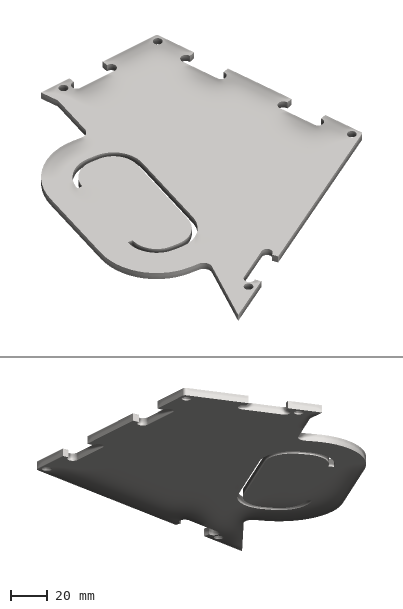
import cadquery as cq
import math

THICKNESS = 4.3

LEFT_TIP = (0, 93.0)
TOP_LEFT = (22.4, 169.2)
TOP_RIGHT = (161.2, 167.8)
RIGHT_TIP = (196, 4.5)
LOWER_LEFT_BEND = (11.4, 93.0)
RIGHT_UNDERSIDE_ANGLE = 145.2
TOP_CORNER_RADIUS = 1.5

HANDLE_CENTER = (95.5, 48.0)
HANDLE_TILT = -23
ARC_CENTER_SPACING = 53.0
ARC_CENTER_RISE = 4.7
HANDLE_RADIUS = 35.3
HANDLE_ROOT_RADIUS = 5.0
SLOT_OUTER_RADIUS = 18.2
SLOT_WIDTH = 3.1

NOTCH_WIDTH = 22.7
NOTCH_DEPTH = 10.0
UNDERCUT_RADIUS = 3.1
UNDERCUT_SPACING = 23.5
NOTCHES = [
    (LEFT_TIP, TOP_LEFT, 31.0),
    (TOP_LEFT, TOP_RIGHT, 36.5),
    (TOP_LEFT, TOP_RIGHT, 102.2),
    (TOP_RIGHT, RIGHT_TIP, 124.7),
]

HOLE_DIAMETER = 5.3
HOLE_CENTERS = [(7.6, 103.1), (26.0, 165.0), (157.0, 163.5), (186.7, 27.0)]


def unit(angle):
    """Unit vector at an angle in degrees."""
    return cq.Vector(math.cos(math.radians(angle)), math.sin(math.radians(angle)))


def meeting_point(start_a, direction_a, start_b, direction_b):
    """Point where two lines in the XY plane cross."""
    gap = start_b - start_a
    distance = gap.cross(direction_b).z / direction_a.cross(direction_b).z
    return start_a + direction_a * distance


def rounded_plate(corners):
    """Plate from (point, corner radius) pairs; radius 0 leaves a corner sharp."""
    points = [cq.Vector(*point) if isinstance(point, tuple) else point for point, _ in corners]
    edge_starts = []
    edge_ends = []
    arc_middles = []
    for i, (_, radius) in enumerate(corners):
        corner = points[i]
        back = (points[i - 1] - corner).normalized()
        ahead = (points[(i + 1) % len(points)] - corner).normalized()
        half_angle = back.getAngle(ahead) / 2
        trim = radius / math.tan(half_angle)
        arc_offset = radius / math.sin(half_angle) - radius
        edge_ends.append(corner + back * trim)
        edge_starts.append(corner + ahead * trim)
        arc_middles.append(corner + (back + ahead).normalized() * arc_offset)

    edges = []
    for i, (_, radius) in enumerate(corners):
        if radius > 0:
            edges.append(cq.Edge.makeThreePointArc(edge_ends[i], arc_middles[i], edge_starts[i]))
        edges.append(cq.Edge.makeLine(edge_starts[i], edge_ends[(i + 1) % len(points)]))
    wire = cq.Wire.assembleEdges(edges)
    return cq.Workplane("XY").add(wire).toPending().extrude(THICKNESS)


def make_body():
    """Body and handle in one outline."""
    along = unit(HANDLE_TILT)
    across = unit(HANDLE_TILT + 90)
    half_length = ARC_CENTER_SPACING / 2 + HANDLE_RADIUS
    half_height = ARC_CENTER_RISE / 2 + HANDLE_RADIUS
    bottom_middle = cq.Vector(*HANDLE_CENTER) - across * half_height
    bottom_left = bottom_middle - along * half_length
    bottom_right = bottom_middle + along * half_length
    left_root = meeting_point(cq.Vector(*LOWER_LEFT_BEND), along, bottom_left, across)
    right_root = meeting_point(
        cq.Vector(*RIGHT_TIP), unit(RIGHT_UNDERSIDE_ANGLE), bottom_right, across
    )
    return rounded_plate([
        (LEFT_TIP, 0),
        (TOP_LEFT, TOP_CORNER_RADIUS),
        (TOP_RIGHT, TOP_CORNER_RADIUS),
        (RIGHT_TIP, 0),
        (right_root, HANDLE_ROOT_RADIUS),
        (bottom_right, HANDLE_RADIUS),
        (bottom_left, HANDLE_RADIUS),
        (left_root, HANDLE_ROOT_RADIUS),
        (LOWER_LEFT_BEND, 0),
    ])


def make_finger_slot():
    """Ring around a rounded rectangle, left open along its lower straight side."""
    def rounded_block(radius):
        return (
            cq.Workplane("XY")
            .rect(ARC_CENTER_SPACING + 2 * radius, ARC_CENTER_RISE + 2 * radius)
            .extrude(THICKNESS)
            .edges("|Z")
            .fillet(radius)
        )

    bridge = (
        cq.Workplane("XY")
        .center(0, -SLOT_OUTER_RADIUS)
        .rect(ARC_CENTER_SPACING, 2 * SLOT_OUTER_RADIUS)
        .extrude(THICKNESS)
    )
    ring = rounded_block(SLOT_OUTER_RADIUS).cut(rounded_block(SLOT_OUTER_RADIUS - SLOT_WIDTH))
    return (
        ring.cut(bridge)
        .rotate((0, 0, 0), (0, 0, 1), HANDLE_TILT)
        .translate((*HANDLE_CENTER, 0))
    )


def make_notch(edge_start, edge_end, distance):
    """Notch centred at a distance along an edge, cutting square to that edge."""
    start = cq.Vector(*edge_start)
    direction = (cq.Vector(*edge_end) - start).normalized()
    center = start + direction * distance
    angle = math.degrees(math.atan2(direction.y, direction.x))
    notch = cq.Workplane("XY").rect(NOTCH_WIDTH, 2 * NOTCH_DEPTH).extrude(THICKNESS)
    undercut_y = UNDERCUT_RADIUS - NOTCH_DEPTH
    undercuts = (
        cq.Workplane("XY")
        .pushPoints([(side * UNDERCUT_SPACING / 2, undercut_y) for side in (-1, 1)])
        .circle(UNDERCUT_RADIUS)
        .extrude(THICKNESS)
    )
    return notch.union(undercuts).rotate((0, 0, 0), (0, 0, 1), angle).translate(center)


def make_holes():
    return cq.Workplane("XY").pushPoints(HOLE_CENTERS).circle(HOLE_DIAMETER / 2).extrude(THICKNESS)


result = make_body().cut(make_finger_slot()).cut(make_holes())
for notch_place in NOTCHES:
    result = result.cut(make_notch(*notch_place))